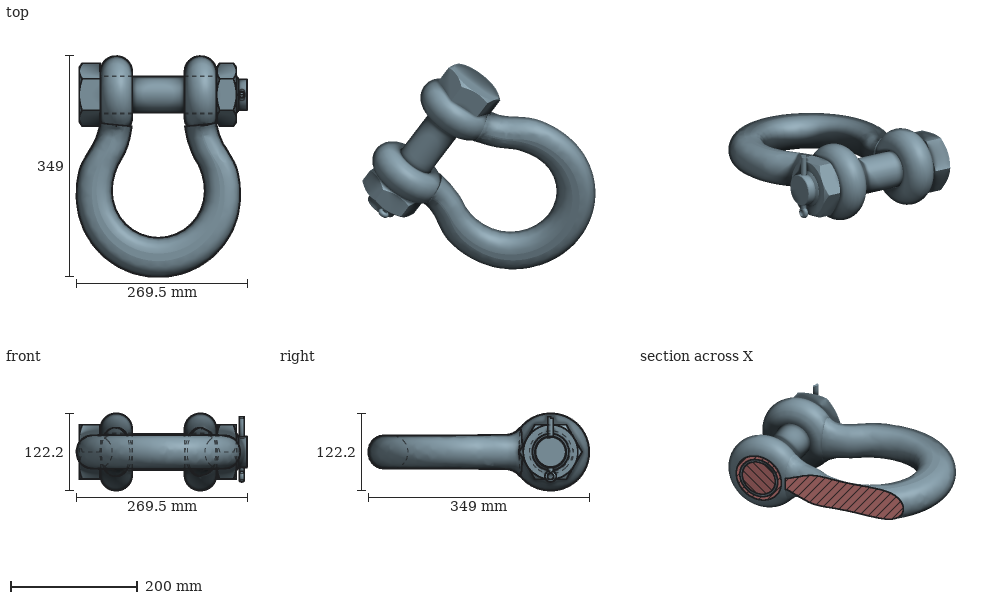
import cadquery as cq
import math


eye_outer_radius = 61.085
eye_tube_radius = 25.3
eye_ring_radius = eye_outer_radius - eye_tube_radius
eye_center_x = 66.4
eye_outer_face_x = eye_center_x + eye_tube_radius
pin_hole_diameter = 60.0
spotface_diameter = 100.0
spotface_allowance = 10.0

overall_length = 348.95
crown_inner_radius = 72.9
crown_center_y = -152.5
crown_bottom_y = eye_outer_radius - overall_length
side_width = 56.4
crown_width = crown_center_y - crown_inner_radius - crown_bottom_y
neck_width = 2 * eye_tube_radius
shoulder_angle = 33.0
shoulder_sin = math.sin(math.radians(shoulder_angle))
shoulder_cos = math.cos(math.radians(shoulder_angle))
arm_radius = crown_inner_radius + side_width / 2
neck_bend_radius = (arm_radius * shoulder_cos - eye_center_x) / (1 - shoulder_cos)
neck_bend_center_x = eye_center_x + neck_bend_radius
neck_bend_center_y = crown_center_y + (arm_radius + neck_bend_radius) * shoulder_sin

bow_half_height = 26.4
neck_half_height = 27.2
crown_flat = 11.9
side_flat = 7.3
neck_flat = 2.5

blend_radius = 30.5
blend_center_z = neck_half_height + blend_radius
blend_center_y = -math.sqrt((eye_outer_radius + blend_radius) ** 2 - blend_center_z**2)
blend_end_y = blend_center_y * eye_outer_radius / (eye_outer_radius + blend_radius)

crown_steps = 8
shoulder_steps = 3
neck_steps = 3
blend_steps = 4

pin_diameter = 57.7
hex_across_flats = 86.0
hex_chamfer_angle = 35.0
head_end_x = -124.8
nut_start_x = 92.2
nut_end_x = 123.1
taper_start_x = 123.6
taper_length = 3.0
bolt_tip_diameter = 49.4
bolt_end_x = 140.15
bolt_end_chamfer = 1.0

split_pin_x = 131.5
split_pin_diameter = 8.4
split_pin_top_z = 55.8
split_pin_bottom_z = -47.4
leg_length_difference = 2.5
clearance_diameter = 10.2
clearance_depth = 3.0
loop_inner_radius = 4.8
loop_center_z = split_pin_bottom_z + loop_inner_radius + split_pin_diameter / 2


def between(start, end, fraction):
    return start + (end - start) * fraction


def bow_section(x, y, angle, width, flat, half_height):
    """Section wire at a centreline point; the angle is the direction of the outer side in XY."""
    upward = cq.Vector(0, 0, 1)
    outward = cq.Vector(math.cos(math.radians(angle)), math.sin(math.radians(angle)), 0)
    along = upward.cross(outward)
    center = cq.Vector(x, y, 0)
    half_flat = outward * (flat / 2)
    end_depth = (width - flat) / 2
    outer_end = cq.Edge.makeEllipse(half_height, end_depth, center + half_flat, along, upward, 0, 180)
    inner_end = cq.Edge.makeEllipse(half_height, end_depth, center - half_flat, along, upward, 180, 360)
    lower_flat = cq.Edge.makeLine(outer_end.endPoint(), inner_end.startPoint())
    upper_flat = cq.Edge.makeLine(inner_end.endPoint(), outer_end.startPoint())
    return cq.Wire.assembleEdges([outer_end, lower_flat, inner_end, upper_flat])


def neck_section(angle, half_height):
    return (
        neck_bend_center_x - neck_bend_radius * math.cos(math.radians(angle)),
        neck_bend_center_y - neck_bend_radius * math.sin(math.radians(angle)),
        angle,
        neck_width,
        neck_flat,
        half_height,
    )


def neck_angle(y):
    return math.degrees(math.asin((neck_bend_center_y - y) / neck_bend_radius))


def right_arm_sections():
    """Sections from the side of the crown circle up to the right eye."""
    sections = []
    for step in range(1, shoulder_steps + 1):
        angle = shoulder_angle * step / shoulder_steps
        taper = (step / shoulder_steps) ** 2
        sections.append(
            (
                arm_radius * math.cos(math.radians(angle)),
                crown_center_y + arm_radius * math.sin(math.radians(angle)),
                angle,
                between(side_width, neck_width, taper),
                between(side_flat, neck_flat, taper),
                between(bow_half_height, neck_half_height, taper),
            )
        )
    for step in range(1, neck_steps + 1):
        angle = between(shoulder_angle, neck_angle(blend_center_y), step / neck_steps)
        sections.append(neck_section(angle, neck_half_height))
    for step in range(1, blend_steps + 1):
        y = between(blend_center_y, blend_end_y, step / blend_steps)
        rise = math.sqrt(blend_radius**2 - (y - blend_center_y) ** 2)
        sections.append(neck_section(neck_angle(y), blend_center_z - rise))
    return sections


def crown_sections():
    """Sections around the crown from the left side to the right side."""
    sections = []
    for step in range(crown_steps + 1):
        angle = 180 + 180 * step / crown_steps
        depth = -math.sin(math.radians(angle))
        width = between(side_width, crown_width, depth)
        radius = crown_inner_radius + width / 2
        sections.append(
            (
                radius * math.cos(math.radians(angle)),
                crown_center_y + radius * math.sin(math.radians(angle)),
                angle,
                width,
                between(side_flat, crown_flat, depth),
                bow_half_height,
            )
        )
    return sections


def make_eye(center_x):
    """Ring about the pin axis, its round profile starting on the side that faces the axis."""
    profile_plane = cq.Plane(origin=(center_x, eye_ring_radius, 0), xDir=(0, -1, 0), normal=(0, 0, 1))
    return (
        cq.Workplane(profile_plane)
        .circle(eye_tube_radius)
        .revolve(360, (eye_ring_radius, 0), (eye_ring_radius, 1))
    )


def make_spotface(side):
    return (
        cq.Workplane("YZ", origin=(side * eye_outer_face_x, 0, 0))
        .circle(spotface_diameter / 2)
        .extrude(side * spotface_allowance)
    )


def make_bow():
    right_arm = right_arm_sections()
    left_arm = [(-x, y, 180 - angle, *sizes) for x, y, angle, *sizes in reversed(right_arm)]
    wires = [bow_section(*section) for section in left_arm + crown_sections() + right_arm]
    bow = cq.Workplane(cq.Solid.makeLoft(wires))
    for side in (-1, 1):
        bow = bow.union(make_eye(side * eye_center_x))
    pin_hole = cq.Workplane("YZ").circle(pin_hole_diameter / 2).extrude(eye_outer_face_x, both=True)
    bow = bow.cut(pin_hole)
    for side in (-1, 1):
        bow = bow.cut(make_spotface(side))
    return bow


def chamfered_hex(start_x, end_x, chamfer_start, chamfer_end):
    """Hexagonal prism along X with corners toward +Y and -Y, turned down at the chosen ends."""
    corner_diameter = hex_across_flats / math.cos(math.radians(30))
    prism = (
        cq.Workplane("YZ", origin=(start_x, 0, 0))
        .polygon(6, corner_diameter)
        .extrude(end_x - start_x)
    )
    flat_radius = hex_across_flats / 2
    corner_radius = corner_diameter / 2
    chamfer_length = (corner_radius - flat_radius) * math.tan(math.radians(hex_chamfer_angle))
    turned = cq.Workplane("YZ", origin=(start_x, 0, 0)).circle(corner_radius).extrude(end_x - start_x)
    if chamfer_start:
        turned = turned.faces("<X").chamfer(chamfer_length, corner_radius - flat_radius)
    if chamfer_end:
        turned = turned.faces(">X").chamfer(chamfer_length, corner_radius - flat_radius)
    return prism.intersect(turned)


def make_shank():
    pin_radius = pin_diameter / 2
    tip_radius = bolt_tip_diameter / 2
    return (
        cq.Workplane("XZ")
        .moveTo(-eye_outer_face_x, 0)
        .lineTo(-eye_outer_face_x, pin_radius)
        .lineTo(taper_start_x, pin_radius)
        .lineTo(taper_start_x + taper_length, tip_radius)
        .lineTo(bolt_end_x - bolt_end_chamfer, tip_radius)
        .lineTo(bolt_end_x, tip_radius - bolt_end_chamfer)
        .lineTo(bolt_end_x, 0)
        .close()
        .revolve(360, (0, 0, 0), (1, 0, 0))
    )


def make_split_pin():
    """Two half-round legs, one shorter, with an eyelet of half-round wire under the bolt tip."""
    wire_radius = split_pin_diameter / 2
    legs_bottom_z = loop_center_z + loop_inner_radius
    pin = (
        cq.Workplane("XY", origin=(split_pin_x, 0, legs_bottom_z))
        .circle(wire_radius)
        .extrude(split_pin_top_z - legs_bottom_z)
    )
    short_leg_cut = (
        cq.Workplane("XY", origin=(split_pin_x, 0, split_pin_top_z))
        .rect(split_pin_diameter, split_pin_diameter)
        .extrude(-leg_length_difference)
        .translate((0, wire_radius, 0))
    )
    eyelet = (
        cq.Workplane("XZ", origin=(split_pin_x, 0, loop_center_z))
        .moveTo(-wire_radius, loop_inner_radius)
        .threePointArc((0, loop_inner_radius + wire_radius), (wire_radius, loop_inner_radius))
        .close()
        .revolve(360, (0, 0, 0), (1, 0, 0))
    )
    return pin.cut(short_leg_cut).union(eyelet)


def make_split_pin_clearance():
    """Shallow recess around the split pin where it leaves the top of the bolt tip."""
    tip_radius = bolt_tip_diameter / 2
    return (
        cq.Workplane("XY", origin=(split_pin_x, 0, tip_radius - clearance_depth))
        .circle(clearance_diameter / 2)
        .extrude(clearance_depth)
    )


def make_bolt():
    head = chamfered_hex(head_end_x, -eye_outer_face_x, True, False)
    nut = chamfered_hex(nut_start_x, nut_end_x, True, True)
    bolt = make_shank().union(head).union(nut)
    return bolt.cut(make_split_pin_clearance()).union(make_split_pin())


bow = make_bow()
bolt = make_bolt()

result = cq.Compound.makeCompound([bow.solids().val(), bolt.solids().val()])